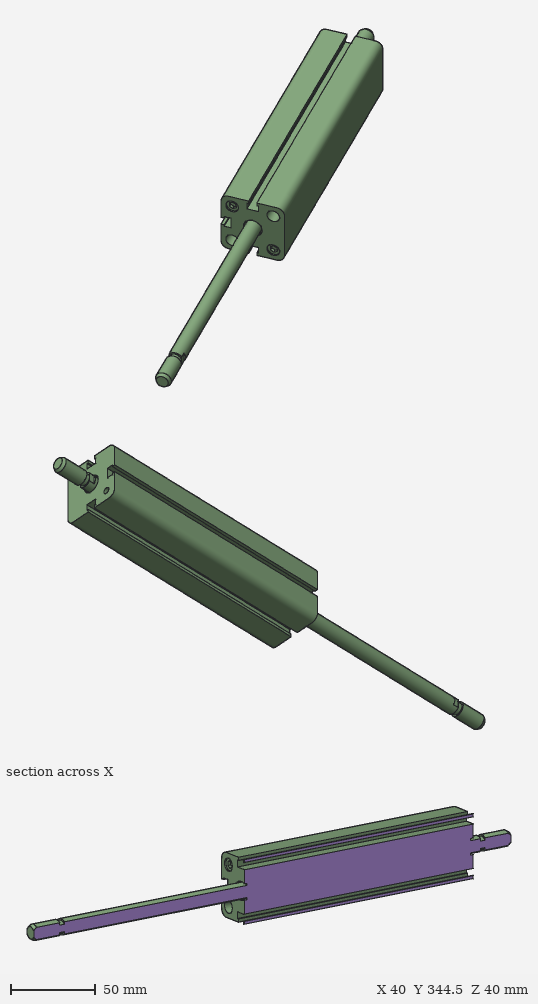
import cadquery as cq

total_length = 344.5
body_side = 40.0
corner_radius = 4.8

rear_rod_reach = 27.2
front_rod_reach = 152.0
rear_cap_length = 12.7
front_cap_length = 13.8

slot_opening = 5.0
slot_inner_width = 7.2
slot_lip = 2.0
slot_depth = 6.2

rod_diameter = 10.0
rod_recess_diameter = 11.7
rod_recess_depth = 1.7
neck_diameter = 8.0
neck_length = 3.0
stud_length = 22.0
tip_diameter = 7.5
tip_taper_length = 2.0
flats_width = 8.0
flats_length = 3.8

hole_spacing = 26.0
bore_diameter = 8.0
bore_depth = 10.5
through_diameter = 4.0
screw_recess = 1.0
socket_corner_diameter = 4.8
socket_depth = 2.0

rod_tip = total_length / 2
body_rear = rod_tip - rear_rod_reach
body_front = front_rod_reach - rod_tip


def cylinder(diameter, start_y, end_y, x=0, z=0):
    """Cylinder along Y between two positions."""
    start = cq.Vector(x, start_y, z)
    return cq.Workplane(cq.Solid.makeCylinder(diameter / 2, end_y - start_y, start, cq.Vector(0, 1, 0)))


def box(width, height, start_y, end_y, x=0, z=0):
    """Box centred at (x, z), running along Y between two positions."""
    return cq.Workplane().box(width, end_y - start_y, height).translate((x, (start_y + end_y) / 2, z))


def make_t_slot(start_y, end_y):
    """Cutter for the T-slot in the top face."""
    top = body_side / 2
    opening = box(slot_opening, slot_depth, start_y, end_y, z=top - slot_depth / 2)
    inner_height = slot_depth - slot_lip
    inner_z = top - slot_lip - inner_height / 2
    return opening.union(box(slot_inner_width, inner_height, start_y, end_y, z=inner_z))


def make_body_segment(start_y, end_y):
    """Rounded square bar with T-slots in the top, left and bottom faces."""
    segment = box(body_side, body_side, start_y, end_y).edges("|Y").fillet(corner_radius)
    slot = make_t_slot(start_y, end_y)
    for angle in (0, -90, 180):
        segment = segment.cut(slot.rotate((0, 0, 0), (0, 1, 0), angle))
    return segment


def make_body():
    """Tube between two flush end caps; skipping the clean-up keeps the joint lines."""
    tube_front = body_front + front_cap_length
    tube_rear = body_rear - rear_cap_length
    body = make_body_segment(tube_front, tube_rear)
    body = body.union(make_body_segment(body_front, tube_front), clean=False)
    return body.union(make_body_segment(tube_rear, body_rear), clean=False)


def make_through_hole(x, z):
    """Cutter for a counterbored hole through the whole body."""
    bore = cylinder(bore_diameter, body_front, body_front + bore_depth, x, z)
    return bore.union(cylinder(through_diameter, body_front, body_rear, x, z))


def make_screw_seat(x, z):
    """Cutter for the recess above a socket screw, with the screw's hexagon socket."""
    screw_face = body_front + screw_recess
    recess = cylinder(bore_diameter, body_front, screw_face, x, z)
    socket = (
        cq.Workplane("XZ", origin=(x, screw_face, z))
        .transformed(rotate=(0, 0, 90))
        .polygon(6, socket_corner_diameter)
        .extrude(-socket_depth)
    )
    return recess.union(socket)


def cut_corner_holes(body):
    """Through holes on one diagonal, socket screws on the other."""
    offset = hole_spacing / 2
    for side in (-1, 1):
        x = side * offset
        body = body.cut(make_through_hole(x, x), clean=False)
        body = body.cut(make_screw_seat(x, -x), clean=False)
    return body


def make_rod():
    """Rod turned about Y, with a necked stud and wrench flats at each end."""
    neck_start = rod_tip - stud_length
    rod_radius = rod_diameter / 2
    neck_radius = neck_diameter / 2
    half_profile = [
        (0, 0),
        (rod_radius, 0),
        (rod_radius, neck_start),
        (neck_radius, neck_start),
        (neck_radius, neck_start + neck_length),
        (rod_radius, neck_start + neck_length),
        (rod_radius, rod_tip - tip_taper_length),
        (tip_diameter / 2, rod_tip),
        (0, rod_tip),
    ]
    half = cq.Workplane().polyline(half_profile).close().revolve(360, (0, 0, 0), (0, 1, 0))
    for side in (-1, 1):
        flat_x = side * (flats_width + rod_diameter) / 2
        half = half.cut(box(rod_diameter, rod_diameter, neck_start - flats_length, neck_start, x=flat_x))
    return half.union(half.mirror("XZ"))


def cut_rod_recesses(body):
    """Shallow clearance around the rod at both ends of the body."""
    for start_y in (body_front, body_rear - rod_recess_depth):
        body = body.cut(cylinder(rod_recess_diameter, start_y, start_y + rod_recess_depth), clean=False)
    return body


body = cut_rod_recesses(cut_corner_holes(make_body()))
result = body.union(make_rod(), clean=False)